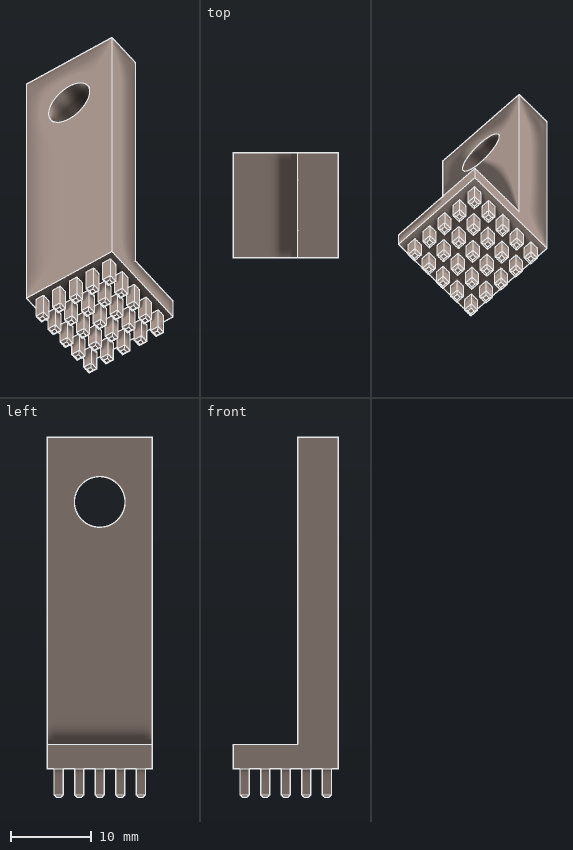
import cadquery as cq

total_height = 44.5
width = 13.0

base_thickness = 3.03
wall_thickness = 5.05

hole_diameter = 6.25
hole_drop = 8

pins_per_side = 5
pin_pitch = 2.55
pin_size = 1.15
pin_length = 3.5
pin_tip_chamfer = 0.3
pin_embed = 0.45

base_bottom = pin_length
wall_height = total_height - base_bottom


def make_bracket():
    """L-shaped bracket: square base with an upright wall along its +X side."""
    base = (
        cq.Workplane("XY", origin=(0, 0, base_bottom))
        .box(width, width, base_thickness, centered=(True, True, False))
    )
    wall = (
        cq.Workplane("XY", origin=((width - wall_thickness) / 2, 0, base_bottom))
        .box(wall_thickness, width, wall_height, centered=(True, True, False))
    )
    return base.union(wall)


def make_hole():
    """Cylinder along X, long enough to pass through the wall."""
    return (
        cq.Workplane("YZ", origin=(width / 2 - wall_thickness, 0, total_height - hole_drop))
        .circle(hole_diameter / 2)
        .extrude(wall_thickness)
    )


def make_pin(x, y):
    """Square pin with its chamfered tip at Z = 0."""
    return (
        cq.Workplane("XY", origin=(x, y, 0))
        .box(pin_size, pin_size, pin_length + pin_embed, centered=(True, True, False))
        .faces("<Z")
        .chamfer(pin_tip_chamfer)
    )


result = make_bracket().cut(make_hole())

first_pin = -pin_pitch * (pins_per_side - 1) / 2
for column in range(pins_per_side):
    for row in range(pins_per_side):
        pin = make_pin(first_pin + column * pin_pitch, first_pin + row * pin_pitch)
        result = result.union(pin)